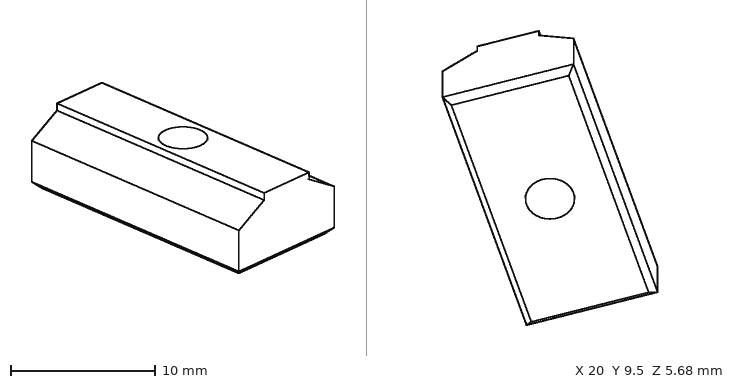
import cadquery as cq
import math

length = 20.0
width = 9.5
height = 5.68

rib_width = 4.48
side_wall_top = 3.68
shoulder_angle = 30.0

bottom_chamfer = 0.5
hole_diameter = 3.4

half_width = width / 2
half_rib = rib_width / 2
shoulder_rise = (half_width - half_rib) * math.tan(math.radians(shoulder_angle))
rib_base = side_wall_top + shoulder_rise


def make_body():
    """Extrude the symmetric cross-section along X, centred on the origin."""
    return (
        cq.Workplane("YZ")
        .moveTo(0, 0)
        .lineTo(half_width, 0)
        .lineTo(half_width, side_wall_top)
        .lineTo(half_rib, rib_base)
        .lineTo(half_rib, height)
        .lineTo(0, height)
        .mirrorY()
        .extrude(length / 2, both=True)
    )


body = make_body().faces("<Z").edges().chamfer(bottom_chamfer)

result = body.faces(">Z").workplane(origin=(0, 0, height)).hole(hole_diameter)